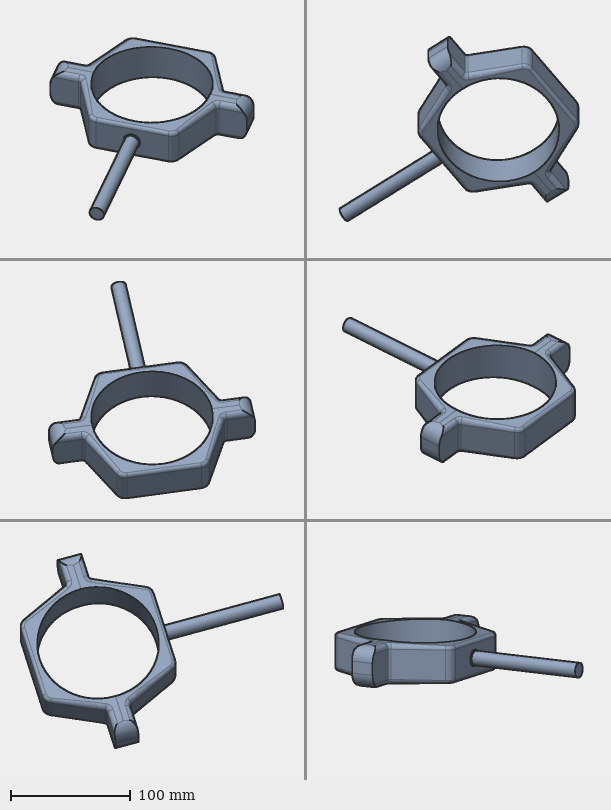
import cadquery as cq
import math

total_length = 217.2
lug_span = 171.3
ridge_height = 35.8
body_depth = 115.5
corner_half_width = 37.0
flank_angle = 64.5
lug_width = 20.0
bore_diameter = 101.5
corner_radius = 8.7
lug_root_radius = 2.5
lug_tip_radius = 12.8

crown_angle = 2.0

rim_level = 12.8

rod_diameter = 12.5
rod_base_flare = 0.9

tolerance = 2.17e-06

half_depth = body_depth / 2
half_lug = lug_width / 2
half_span = lug_span / 2
half_height = ridge_height / 2
crown_slope = math.tan(math.radians(crown_angle))
lug_root_x = corner_half_width + (half_depth - half_lug) / math.tan(math.radians(flank_angle))


def crown_height(y):
    return half_height - abs(y) * crown_slope


def rim_radius(y):
    """Radius whose lower tangent line is at rim_level on a vertical wall."""
    return crown_height(y) - rim_level


def make_blank():
    right_side = [
        (corner_half_width, -half_depth),
        (lug_root_x, -half_lug),
        (half_span, -half_lug),
        (half_span, half_lug),
        (lug_root_x, half_lug),
        (corner_half_width, half_depth),
    ]
    left_side = [(-x, y) for x, y in reversed(right_side)]
    prism = (
        cq.Workplane("XY")
        .polyline(right_side + left_side)
        .close()
        .extrude(half_height, both=True)
    )
    corners = [(sx * corner_half_width, sy * half_depth) for sx in (-1, 1) for sy in (-1, 1)]
    roots = [(sx * lug_root_x, sy * half_lug) for sx in (-1, 1) for sy in (-1, 1)]
    for points, radius in ((corners, corner_radius), (roots, lug_root_radius)):
        for x, y in points:
            prism = prism.edges(cq.selectors.NearestToPointSelector((x, y, 0))).fillet(radius)

    edge_height = crown_height(half_depth)
    crown = (
        cq.Workplane("YZ")
        .polyline([
            (-half_depth, -edge_height),
            (0, -half_height),
            (half_depth, -edge_height),
            (half_depth, edge_height),
            (0, half_height),
            (-half_depth, edge_height),
        ])
        .close()
        .extrude(half_span, both=True)
    )
    return prism.intersect(crown)


def round_rim(body):
    """Round the outer rim with a radius that follows the crown height."""
    solid = body.val()
    rounding = cq.occ_impl.shapes.BRepFilletAPI_MakeFillet(solid.wrapped)
    for edge in solid.Edges():
        middle = edge.positionAt(0.5)
        on_crown = abs(middle.z) > rim_level
        on_lug_end = edge.BoundingBox().xlen < tolerance
        on_ridge = abs(middle.y) < tolerance
        if on_crown and not on_lug_end and not on_ridge:
            start_radius = rim_radius(edge.startPoint().y)
            end_radius = rim_radius(edge.endPoint().y)
            rounding.Add(start_radius, end_radius, edge.wrapped)
    return cq.Workplane(cq.Shape.cast(rounding.Shape()))


def round_lug_tips(body):
    envelope = (
        cq.Workplane("XY")
        .box(lug_span, body_depth, ridge_height)
        .edges("|Y")
        .fillet(lug_tip_radius)
    )
    return body.intersect(envelope)


def make_rod():
    rod_radius = rod_diameter / 2
    tip_y = half_depth - total_length
    wall_y = -half_depth
    embedded_y = (wall_y - bore_diameter / 2) / 2
    flare_radius = rod_radius + rod_base_flare
    return (
        cq.Workplane("XY")
        .moveTo(0, tip_y)
        .lineTo(rod_radius, tip_y)
        .lineTo(rod_radius, wall_y - rod_base_flare)
        .lineTo(flare_radius, wall_y)
        .lineTo(flare_radius, embedded_y)
        .lineTo(0, embedded_y)
        .close()
        .revolve(360, (0, 0, 0), (0, 1, 0))
    )


ring = round_lug_tips(round_rim(make_blank()))
bore = cq.Workplane("XY", origin=(0, 0, -half_height)).circle(bore_diameter / 2).extrude(ridge_height)
ring = ring.cut(bore)
result = ring.union(make_rod())